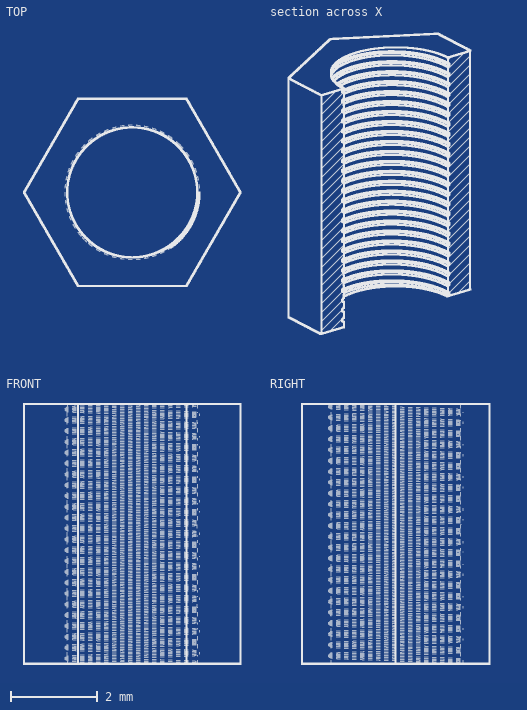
import cadquery as cq

height = 6.0
across_corners = 5.0

bore_diameter = 3.0
bore_seam_angle = 120.0
thread_turns = 24
groove_depth = 0.055
groove_root_width = 0.03
groove_mouth_width = 0.1
cutter_overlap = 0.02

bore_radius = bore_diameter / 2
thread_pitch = height / thread_turns


def hexagonal_sleeve():
    """Hexagonal bar with corners on the X axis and a plain through bore."""
    bar = cq.Workplane("XY").polygon(6, across_corners).extrude(height)
    bore = cq.Workplane("XY").circle(bore_radius).extrude(height)
    return bar.cut(bore.rotate((0, 0, 0), (0, 0, 1), bore_seam_angle))


def thread_cutter():
    """Right-handed helical cutter whose centre runs from the bottom face to the top face, starting at +X."""
    inner_radius = bore_radius - cutter_overlap
    root_radius = bore_radius + groove_depth
    flank_slope = (groove_mouth_width - groove_root_width) / 2 / groove_depth
    inner_half_width = groove_mouth_width / 2 + flank_slope * cutter_overlap
    root_half_width = groove_root_width / 2

    profile = cq.Workplane("XZ").polyline(
        [
            (inner_radius, -inner_half_width),
            (root_radius, -root_half_width),
            (root_radius, root_half_width),
            (inner_radius, inner_half_width),
        ]
    ).close()
    helix = cq.Wire.makeHelix(thread_pitch, height, bore_radius)
    return profile.sweep(cq.Workplane(obj=helix), isFrenet=True)


result = hexagonal_sleeve().cut(thread_cutter())